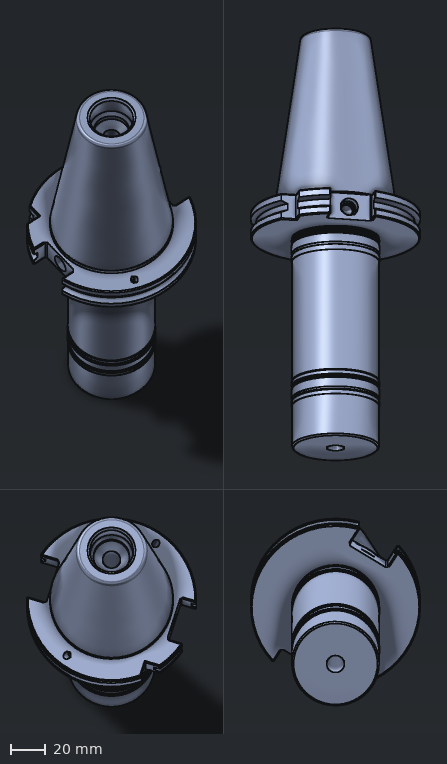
import cadquery as cq
import math

TOTAL_HEIGHT = 246.5
GAUGE_Z = 144.8
TAPER_END_Z = 143.5
FLANGE_TOP_Z = 141.5
FLANGE_BOTTOM_Z = 126.0
GROOVE_Z = 133.7

GAUGE_RADIUS = 35.0
TAPER_SLOPE = 7 / 48
TAPER_TOP_RADIUS = GAUGE_RADIUS - TAPER_SLOPE * (TOTAL_HEIGHT - GAUGE_Z)
TAPER_END_RADIUS = GAUGE_RADIUS + TAPER_SLOPE * (GAUGE_Z - TAPER_END_Z)
TAPER_TOP_FILLET = 2.0
NECK_RADIUS = 34.3
NECK_FLARE = 1.2

FLANGE_RADIUS = 97.5 / 2
FLANGE_CHAMFER = 0.7
GROOVE_DEPTH = 3.0
GROOVE_FLOOR_WIDTH = 3.7
GROOVE_HALF_ANGLE = 30.0

SHANK_RADIUS = 50.0 / 2
COLLAR_RADIUS = 50.5 / 2
COLLAR_CHAMFER = 0.7
SHANK_END_CHAMFER = 1.0
COLLARS = [
    (125.3, 123.0, True, True),
    (122.3, 116.5, True, False),
    (115.0, 111.7, False, False),
    (40.0, 36.3, True, True),
    (35.5, 29.3, True, False),
    (28.0, 25.0, True, False),
]

COUNTERBORE_DIAMETER = 25.0
COUNTERBORE_DEPTH = 11.3
MOUTH_DIAMETER = 27.5
MOUTH_DEPTH = 1.2
STEP_DIAMETER = 20.7
STEP_LENGTH = 3.0
STEP_LEAD_IN = (COUNTERBORE_DIAMETER - STEP_DIAMETER) / 2
THROUGH_DIAMETER = 10.0
DRILL_POINT_ANGLE = 118.0

SLOT_WIDTH = 25.6
SLOT_ROOT_CHAMFER = 0.7
SLOT_FLOOR_FRONT_Y = -37.5
SLOT_FLOOR_BACK_Y = 35.3
NOTCH_CORNER = 29.8
MATCH_TOLERANCE = 0.02

POCKET_DIAMETER = 10.0
POCKET_DEPTH = 5.5
POCKET_CORE_DIAMETER = 7.0
POCKET_CORE_DEPTH = 8.0
POCKET_LEAD_IN = 0.5

COOLANT_SLANTED_DIAMETER = 4.0
COOLANT_TILT_ANGLE = 35.0
COOLANT_RADIAL_DIAMETER = 3.2
COOLANT_CIRCLE_RADIUS = 42.0
COOLANT_ANGLES = (-20.0, 160.0)


def point_depth(diameter):
    """Height of the conical point left by a drill of this diameter."""
    return diameter / 2 / math.tan(math.radians(DRILL_POINT_ANGLE / 2))


def collar_points(top, bottom, top_chamfered, bottom_chamfered):
    """Outline of one collar on the shank, from its upper to its lower edge."""
    upper = top - COLLAR_CHAMFER if top_chamfered else top
    lower = bottom + COLLAR_CHAMFER if bottom_chamfered else bottom
    return [(SHANK_RADIUS, top), (COLLAR_RADIUS, upper), (COLLAR_RADIUS, lower), (SHANK_RADIUS, bottom)]


def make_taper():
    neck_flare_radius = NECK_RADIUS + NECK_FLARE
    taper = (
        cq.Workplane("XZ")
        .moveTo(0, TOTAL_HEIGHT)
        .lineTo(TAPER_TOP_RADIUS, TOTAL_HEIGHT)
        .lineTo(TAPER_END_RADIUS, TAPER_END_Z)
        .lineTo(NECK_RADIUS, TAPER_END_Z)
        .lineTo(NECK_RADIUS, FLANGE_TOP_Z + NECK_FLARE)
        .lineTo(neck_flare_radius, FLANGE_TOP_Z)
        .lineTo(neck_flare_radius, GROOVE_Z)
        .lineTo(0, GROOVE_Z)
        .close()
        .revolve(360, (0, 0, 0), (0, 1, 0))
    )
    return taper.faces(">Z").edges().fillet(TAPER_TOP_FILLET)


def make_shank():
    points = [(0, GROOVE_Z), (SHANK_RADIUS, GROOVE_Z)]
    for collar in COLLARS:
        points += collar_points(*collar)
    points += [
        (SHANK_RADIUS, SHANK_END_CHAMFER),
        (SHANK_RADIUS - SHANK_END_CHAMFER, 0),
        (0, 0),
    ]
    return cq.Workplane("XZ").polyline(points).close().revolve(360, (0, 0, 0), (0, 1, 0))


def make_groove_cutter():
    floor_radius = FLANGE_RADIUS - GROOVE_DEPTH
    floor_half = GROOVE_FLOOR_WIDTH / 2
    mouth_half = floor_half + GROOVE_DEPTH * math.tan(math.radians(GROOVE_HALF_ANGLE))
    points = [
        (floor_radius, GROOVE_Z - floor_half),
        (FLANGE_RADIUS, GROOVE_Z - mouth_half),
        (FLANGE_RADIUS, GROOVE_Z + mouth_half),
        (floor_radius, GROOVE_Z + floor_half),
    ]
    return cq.Workplane("XZ").polyline(points).close().revolve(360, (0, 0, 0), (0, 1, 0))


def make_flange_cutter(x_min, x_max, y_min, y_max):
    """Box that removes a rectangle through the whole flange thickness."""
    return (
        cq.Workplane("XY", origin=(0, 0, FLANGE_BOTTOM_Z))
        .center((x_min + x_max) / 2, (y_min + y_max) / 2)
        .rect(x_max - x_min, y_max - y_min)
        .extrude(FLANGE_TOP_Z - FLANGE_BOTTOM_Z)
    )


def make_slot_cutter(floor_y, floor_selector):
    """Drive slot from its floor out through the rim, with bevelled corners at the floor."""
    half_width = SLOT_WIDTH / 2
    rim_y = math.copysign(FLANGE_RADIUS, floor_y)
    cutter = make_flange_cutter(-half_width, half_width, min(floor_y, rim_y), max(floor_y, rim_y))
    return cutter.faces(floor_selector).edges("|Z").chamfer(SLOT_ROOT_CHAMFER)


def is_off_slot_floor(edge):
    """False for the edges of the slot floors and their bevelled corners, which stay sharp."""
    return abs(edge.Center().x) > SLOT_WIDTH / 2 - MATCH_TOLERANCE


def is_slot_mouth(edge):
    """True for the upright edges where a slot wall meets the rim."""
    center = edge.Center()
    at_rim = math.isclose(math.hypot(center.x, center.y), FLANGE_RADIUS, abs_tol=MATCH_TOLERANCE)
    return at_rim and abs(center.x) < SLOT_WIDTH


def make_flange():
    flange = (
        cq.Workplane("XY", origin=(0, 0, FLANGE_BOTTOM_Z))
        .circle(FLANGE_RADIUS)
        .extrude(FLANGE_TOP_Z - FLANGE_BOTTOM_Z)
        .cut(make_slot_cutter(SLOT_FLOOR_FRONT_Y, ">Y"))
        .cut(make_slot_cutter(SLOT_FLOOR_BACK_Y, "<Y"))
        .cut(make_flange_cutter(-FLANGE_RADIUS, -NOTCH_CORNER, -FLANGE_RADIUS, -NOTCH_CORNER))
    )
    outline = flange.faces(">Z or <Z").edges().filter(is_off_slot_floor)
    mouths = flange.edges("|Z").filter(is_slot_mouth)
    flange = outline.add(mouths).chamfer(FLANGE_CHAMFER)
    return flange.cut(make_groove_cutter())


def make_axial_bore():
    counterbore_z = TOTAL_HEIGHT - COUNTERBORE_DEPTH
    step_top_z = counterbore_z - STEP_LEAD_IN
    step_end_z = step_top_z - STEP_LENGTH
    cone_depth = point_depth(STEP_DIAMETER) - point_depth(THROUGH_DIAMETER)
    points = [
        (0, TOTAL_HEIGHT),
        (MOUTH_DIAMETER / 2, TOTAL_HEIGHT),
        (COUNTERBORE_DIAMETER / 2, TOTAL_HEIGHT - MOUTH_DEPTH),
        (COUNTERBORE_DIAMETER / 2, counterbore_z),
        (STEP_DIAMETER / 2, step_top_z),
        (STEP_DIAMETER / 2, step_end_z),
        (THROUGH_DIAMETER / 2, step_end_z - cone_depth),
        (THROUGH_DIAMETER / 2, 0),
        (0, 0),
    ]
    return cq.Workplane("XZ").polyline(points).close().revolve(360, (0, 0, 0), (0, 1, 0))


def make_slot_pocket():
    """Stepped blind hole with a drill point, running along +Y from the front slot floor."""
    core_radius = POCKET_CORE_DIAMETER / 2
    pocket_floor_y = SLOT_FLOOR_FRONT_Y + POCKET_DEPTH
    core_end_y = SLOT_FLOOR_FRONT_Y + POCKET_CORE_DEPTH
    points = [
        (0, SLOT_FLOOR_FRONT_Y),
        (POCKET_DIAMETER / 2, SLOT_FLOOR_FRONT_Y),
        (POCKET_DIAMETER / 2, pocket_floor_y),
        (core_radius + POCKET_LEAD_IN, pocket_floor_y),
        (core_radius, pocket_floor_y + POCKET_LEAD_IN),
        (core_radius, core_end_y),
        (0, core_end_y + point_depth(POCKET_CORE_DIAMETER)),
    ]
    plane = cq.Workplane("XY", origin=(0, 0, GROOVE_Z))
    return plane.polyline(points).close().revolve(360, (0, 0, 0), (0, 1, 0))


def make_coolant_passage(angle):
    """Hole slanting inward from the flange top that meets a radial hole from the groove floor."""
    tilt = math.radians(COOLANT_TILT_ANGLE)
    direction = cq.Vector(-math.sin(tilt), 0, -math.cos(tilt))
    entry = cq.Vector(COOLANT_CIRCLE_RADIUS, 0, FLANGE_TOP_Z)
    length = (FLANGE_TOP_Z - GROOVE_Z) / math.cos(tilt)
    meeting_point = entry + direction * length
    lead = COOLANT_SLANTED_DIAMETER
    slanted = cq.Solid.makeCylinder(
        COOLANT_SLANTED_DIAMETER / 2, length + lead, entry - direction * lead, direction
    )
    radial = cq.Solid.makeCylinder(
        COOLANT_RADIAL_DIAMETER / 2, FLANGE_RADIUS - meeting_point.x, meeting_point, cq.Vector(1, 0, 0)
    )
    passage = cq.Workplane(slanted).union(cq.Workplane(radial))
    return passage.rotate((0, 0, 0), (0, 0, 1), angle)


result = make_taper().union(make_flange()).union(make_shank())
result = result.cut(make_axial_bore()).cut(make_slot_pocket())
for coolant_angle in COOLANT_ANGLES:
    result = result.cut(make_coolant_passage(coolant_angle))